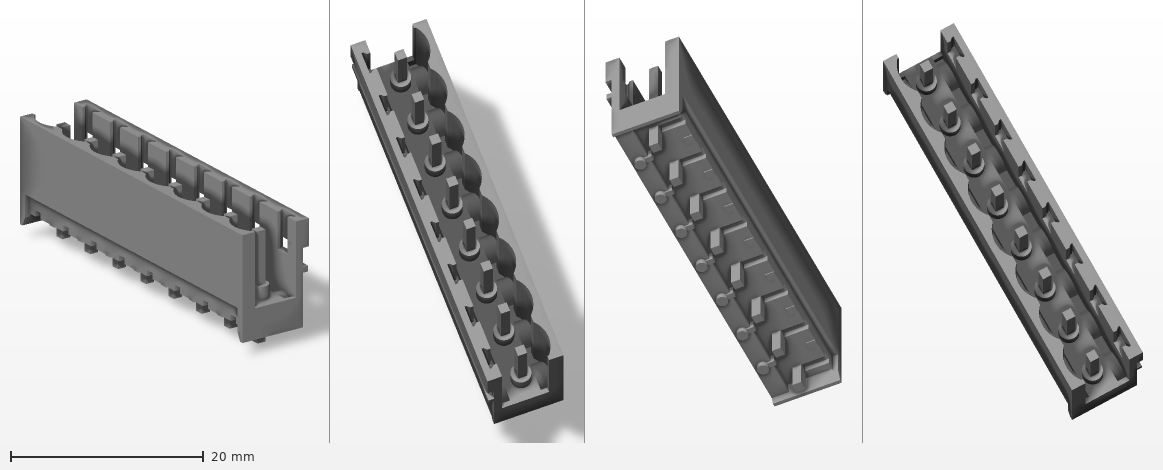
import cadquery as cq
import math

length = 40.45
pole_count = 8
pole_row_length = 35.55
pitch = pole_row_length / (pole_count - 1)
first_pole_x = (length - pole_row_length) / 2
pole_xs = [first_pole_x + i * pitch for i in range(pole_count)]
gap_xs = [x + pitch / 2 for x in pole_xs[:-1]]

housing_height = 12.05
lip_back_y = 8.4
lip_bottom_z = 8.9
rear_face_y = 7.7
front_wall_y = 1.58
rear_wall_y = 6.8
floor_z = 3.5
rail_back_y = 8.3
rail_bottom_z = 6.1
rail_top_z = 6.8

pin_size = 1.0
pin_front_y = 3.28
pin_y = pin_front_y + pin_size / 2
pin_bottom_z = -1.45
pin_top_z = 11.1
collar_diameter = 2.2
collar_top_z = 5.0

channel_floor_z = 2.25
channel_end_x = 0.53
front_channel_y = 2.3
rear_channel_y = 5.7
hump_radius = 1.5
hump_slope = math.radians(57)
scallop_radius = 3.07

mouth_width = 1.8
dovetail_width = 2.43
flare_start_y = 7.15
flare_end_y = 7.5
slot_bottom_z = 7.85

recess_end_x = 0.9
recess_depth = 0.55
recess_top_z = 3.65
underside_z = 1.37
end_toe_width = 0.4
end_root_width = 1.05
lead_slot_width = 0.97
lead_slot_top_z = 2.05
lug_width = 0.9
lug_height = 0.12

skirt_front_y = rear_channel_y
skirt_bottom_z = 0.6
foot_diameter = 1.25
foot_y = (skirt_front_y + rear_face_y) / 2
rib_width = 0.6
rib_bottom_z = 0.4
rib_depth = 0.4


def block(x0, x1, y0, y1, z0, z1):
    """Axis-aligned block between two opposite corners."""
    return cq.Workplane("XY").box(x1 - x0, y1 - y0, z1 - z0, centered=False).translate((x0, y0, z0))


def centred_block(x, width, y0, y1, z0, z1):
    """Block of the given width, centred on x."""
    return block(x - width / 2, x + width / 2, y0, y1, z0, z1)


def upright_cylinder(x, y, radius, z0, z1):
    return cq.Workplane("XY", origin=(x, y, z0)).circle(radius).extrude(z1 - z0)


def pin_shape(x):
    """Square contact pin, centred on one pole."""
    return centred_block(x, pin_size, pin_front_y, pin_front_y + pin_size, pin_bottom_z, pin_top_z)


def trough():
    """U-shaped cross-section with a lip and a rail on the rear, extruded along X."""
    outline = [
        (0, 0),
        (rear_face_y, 0),
        (rear_face_y, rail_bottom_z),
        (rail_back_y, rail_bottom_z),
        (rail_back_y, rail_top_z),
        (rear_face_y, rail_top_z),
        (rear_face_y, lip_bottom_z),
        (lip_back_y, lip_bottom_z),
        (lip_back_y, housing_height),
        (rear_wall_y, housing_height),
        (rear_wall_y, floor_z),
        (front_wall_y, floor_z),
        (front_wall_y, housing_height),
        (0, housing_height),
    ]
    return cq.Workplane("YZ").polyline(outline).close().extrude(length)


def hump(x):
    """Ridge along Y that fills the channels at one pole: a round crest on two straight flanks."""
    crest_half_width = hump_radius * math.sin(hump_slope)
    crest_edge_z = floor_z - hump_radius * (1 - math.cos(hump_slope))
    base_half_width = crest_half_width + (crest_edge_z - channel_floor_z) / math.tan(hump_slope)
    return (
        cq.Workplane("XZ", origin=(x, 0, 0))
        .moveTo(-base_half_width, channel_floor_z)
        .lineTo(-crest_half_width, crest_edge_z)
        .threePointArc((0, floor_z), (crest_half_width, crest_edge_z))
        .lineTo(base_half_width, channel_floor_z)
        .close()
        .extrude(-rear_wall_y)
    )


def floor_channels():
    """Front channel with the wall scallops, and rear channel, both less the humps."""
    channel_end = length - channel_end_x
    front = block(channel_end_x, channel_end, front_wall_y, front_channel_y, channel_floor_z, floor_z)
    rear = block(channel_end_x, channel_end, rear_channel_y, rear_wall_y, channel_floor_z, floor_z)
    scallop_zone = block(channel_end_x, channel_end, 0, front_wall_y, channel_floor_z, housing_height)
    cut = front.union(rear)
    for x in pole_xs:
        scallop = upright_cylinder(x, pin_y, scallop_radius, channel_floor_z, housing_height)
        cut = cut.union(scallop.intersect(scallop_zone))
    for x in pole_xs:
        cut = cut.cut(hump(x))
    return cut


def dovetail_slot(x):
    """Slot down the inside of the rear wall, open at the top and below the lip."""
    half_outline = [
        (mouth_width / 2, rear_wall_y),
        (mouth_width / 2, flare_start_y),
        (dovetail_width / 2, flare_end_y),
        (dovetail_width / 2, rear_face_y),
    ]
    outline = half_outline + [(-across, y) for across, y in reversed(half_outline)]
    return (
        cq.Workplane("XY", origin=(x, 0, slot_bottom_z))
        .polyline(outline)
        .close()
        .extrude(housing_height - slot_bottom_z)
    )


def underside_pocket():
    """Space under the floor between the tapered end plates, less the rear skirt."""
    outline = [
        (end_toe_width, 0),
        (end_root_width, underside_z),
        (length - end_root_width, underside_z),
        (length - end_toe_width, 0),
    ]
    pocket = cq.Workplane("XZ").polyline(outline).close().extrude(-rear_face_y)
    skirt = block(0, length, skirt_front_y, rear_face_y, skirt_bottom_z, underside_z)
    return pocket.cut(skirt)


def front_recess():
    """Shallow recess along the bottom of the front face."""
    return block(recess_end_x, length - recess_end_x, 0, recess_depth, 0, recess_top_z)


def lead_slot(x):
    """Slot under the floor from the front recess to the pin."""
    return centred_block(x, lead_slot_width, recess_depth, pin_y, underside_z, lead_slot_top_z)


def gap_support(x):
    """Foot, rib and front lug halfway between two poles."""
    foot = upright_cylinder(x, foot_y, foot_diameter / 2, 0, skirt_bottom_z)
    rib = centred_block(x, rib_width, skirt_front_y - rib_depth, foot_y, rib_bottom_z, underside_z)
    lug = centred_block(x, lug_width, recess_depth, front_wall_y, underside_z - lug_height, underside_z)
    return foot.union(rib).union(lug)


def housing_shape():
    body = trough().cut(floor_channels()).cut(underside_pocket()).cut(front_recess())
    for x in gap_xs:
        body = body.union(gap_support(x))
    for x in pole_xs:
        body = body.cut(dovetail_slot(x)).cut(lead_slot(x))
        body = body.union(upright_cylinder(x, pin_y, collar_diameter / 2, floor_z, collar_top_z))
    for x in pole_xs:
        body = body.cut(pin_shape(x))
    return body


housing = housing_shape()
pins = [pin_shape(x) for x in pole_xs]

result = cq.Compound.makeCompound([housing.solids().val(), *[pin.val() for pin in pins]])